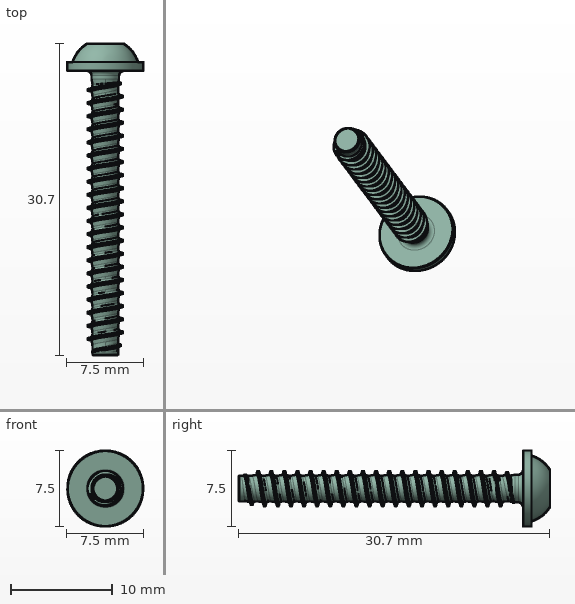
import cadquery as cq
import math


flange_diameter = 7.5
flange_thickness = 0.88
flange_edge_chamfer = 0.06
head_height = 2.7
dome_base_radius = 3.25
dome_flat_radius = 1.82

shank_length = 28.0
neck_radius = 1.37
neck_length = 0.79
neck_fillet_length = 0.42
neck_fillet_width = 0.5
core_radius = 1.28
core_taper_length = 0.5
tip_chamfer = 0.11

pitch = 1.29
crest_radius = 1.75
crest_half_width = 0.04
flank_foot_radius = 1.37
flank_foot_half_width = 0.14
head_side_ramp_width = 0.42
tip_side_ramp_width = 0.65
buried_depth = 0.02
buried_radius = core_radius - buried_depth
thread_start = 0.55
thread_end = 27.7
fade_length = pitch
end_fade = 0.02
crest_depth_on_plus_x = 2.51
points_per_turn = 12


def dome_sphere_center():
    """Y of the center of the sphere through the dome's base circle and flat."""
    squares = dome_flat_radius**2 + head_height**2 - dome_base_radius**2 - flange_thickness**2
    return squares / (2 * (head_height - flange_thickness))


def dome_mid_point():
    """Point (Y, radius) of the dome arc halfway in height between its base and its flat."""
    center = dome_sphere_center()
    sphere_radius = math.hypot(dome_flat_radius, head_height - center)
    mid_height = (flange_thickness + head_height) / 2
    return mid_height, math.sqrt(sphere_radius**2 - (mid_height - center) ** 2)


def make_body():
    """Head, filleted neck and plain core: a (Y, radius) outline revolved about Y."""
    flange_radius = flange_diameter / 2
    bulge = 1 - math.sqrt(0.5)
    fillet_mid = (-neck_fillet_length * bulge, neck_radius + neck_fillet_width * bulge)
    outline = (
        cq.Workplane("YZ")
        .moveTo(head_height, 0)
        .lineTo(head_height, dome_flat_radius)
        .threePointArc(dome_mid_point(), (flange_thickness, dome_base_radius))
        .lineTo(flange_thickness, flange_radius)
        .lineTo(flange_edge_chamfer, flange_radius)
        .lineTo(0, flange_radius - flange_edge_chamfer)
        .lineTo(0, neck_radius + neck_fillet_width)
        .threePointArc(fillet_mid, (-neck_fillet_length, neck_radius))
        .lineTo(-neck_length, neck_radius)
        .lineTo(-neck_length - core_taper_length, core_radius)
        .lineTo(-shank_length, core_radius)
        .lineTo(-shank_length, 0)
        .close()
    )
    return outline.revolve(360, (0, 0, 0), (1, 0, 0)).val()


def thread_fade(depth):
    """Share of the full thread section: least at both ends, 1 beyond the fade length."""
    end_distance = min(depth - thread_start, thread_end - depth)
    return min(1, end_fade + (1 - end_fade) * end_distance / fade_length)


def thread_edge(radius, offset):
    """Helical edge of the thread profile; offset is axial, positive toward the tip."""
    turns = (thread_end - thread_start) / pitch
    steps = round(turns * points_per_turn)
    points = []
    for step in range(steps + 1):
        depth = thread_start + (thread_end - thread_start) * step / steps
        angle = 2 * math.pi * (depth - crest_depth_on_plus_x) / pitch
        fade = thread_fade(depth)
        faded_radius = buried_radius + fade * (radius - buried_radius)
        y = -depth - offset
        points.append(cq.Vector(faded_radius * math.cos(angle), y, faded_radius * math.sin(angle)))
    return cq.Edge.makeSpline(points)


def root_width(ramp_width):
    """Axial reach of a ramp once it is extended from the core surface to the buried radius."""
    ramp_slope = (flank_foot_radius - core_radius) / (ramp_width - flank_foot_half_width)
    return ramp_width + buried_depth / ramp_slope


def make_thread():
    """Thread ridge: narrow tooth on a shallow ramp, its underside buried in the core."""
    profile = [
        (buried_radius, -root_width(head_side_ramp_width)),
        (flank_foot_radius, -flank_foot_half_width),
        (crest_radius, -crest_half_width),
        (crest_radius, crest_half_width),
        (flank_foot_radius, flank_foot_half_width),
        (buried_radius, root_width(tip_side_ramp_width)),
    ]
    edges = [thread_edge(radius, offset) for radius, offset in profile]
    faces = []
    for index, edge in enumerate(edges):
        faces.append(cq.Face.makeRuledSurface(edges[index - 1], edge))
    for at_end in (0, 1):
        corners = [edge.positionAt(at_end) for edge in edges]
        faces.append(cq.Face.makeFromWires(cq.Wire.makePolygon(corners, close=True)))
    return cq.Solid.makeSolid(cq.Shell.makeShell(faces))


def make_tip_cutter():
    """Everything beyond the tip face and its 45 degree edge chamfer."""
    chamfer_radius = core_radius - tip_chamfer
    reach = crest_radius - chamfer_radius
    outline = (
        cq.Workplane("YZ")
        .moveTo(-shank_length, 0)
        .lineTo(-shank_length, chamfer_radius)
        .lineTo(-shank_length + reach, crest_radius)
        .lineTo(-shank_length - pitch, crest_radius)
        .lineTo(-shank_length - pitch, 0)
        .close()
    )
    return outline.revolve(360, (0, 0, 0), (1, 0, 0)).val()


screw = make_body().fuse(make_thread()).cut(make_tip_cutter())
result = cq.Workplane("XY").newObject([screw])